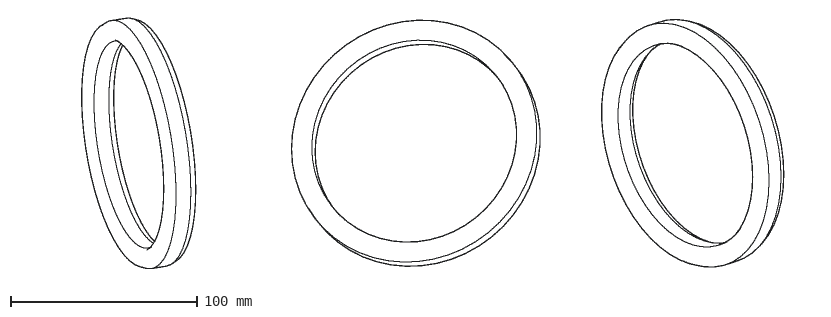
import cadquery as cq
import math

outer_radius = 67.5
inner_radius = 56.3
width = 15.9
land_width = 8.5
taper_angle = 22.5
edge_radius = 1.3

half_width = width / 2
half_land = land_width / 2
taper_length = half_width - half_land
taper_depth = taper_length * math.tan(math.radians(taper_angle))
outer_face_radius = outer_radius - taper_depth
inner_face_radius = inner_radius + taper_depth

section = [
    (inner_radius, -half_land),
    (inner_face_radius, -half_width),
    (outer_face_radius, -half_width),
    (outer_radius, -half_land),
    (outer_radius, half_land),
    (outer_face_radius, half_width),
    (inner_face_radius, half_width),
    (inner_radius, half_land),
]
ring = cq.Workplane("XY").polyline(section).close().revolve(360, (0, 0, 0), (0, 1, 0))

result = ring.faces("<Y or >Y").edges().fillet(edge_radius)